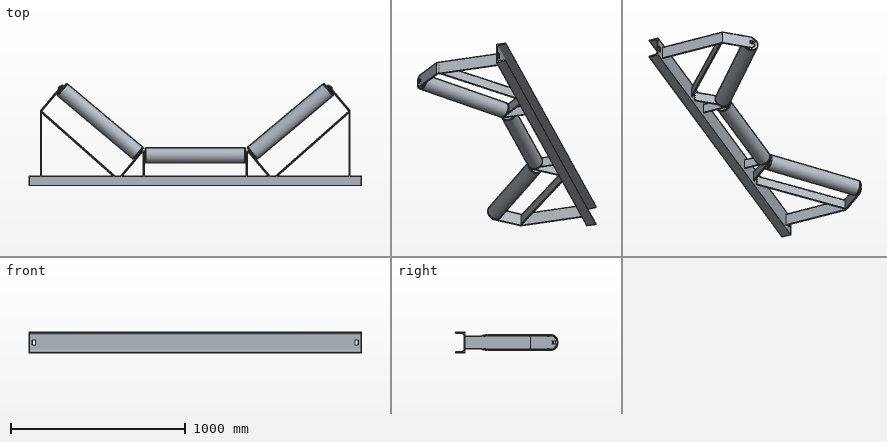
import cadquery as cq
import math


beam_length = 1900.0
beam_height = 120.0
flange_depth = 55.0
web_thickness = 7.0
flange_slope = 0.08
flange_mid_thickness = 9.0
root_radius = 9.0
toe_radius = 4.5

slot_width = 17.0
slot_height = 28.0
slot_end_distance = 27.0

roller_length = 575.0
roller_diameter = 90.0
cap_length = 8.0
cap_diameter = 85.0
trough_angle = 40.0
center_axis_y = 118.0
wing_inner_x = 323.0
wing_inner_y = 127.0

shaft_size = 15.0
shaft_overhang = 5.0
inner_gap = 2.0
outer_gap = 5.0

plate_thickness = 8.0

outer_post_x = 885.0
outer_bracket_width = 75.0
outer_bracket_tip = 20.0
corner_chamfer = 17.0

inner_bracket_top_y = 145.0
inner_bracket_width = 57.0

brace_width = 57.0
brace_angle = 41.5

wing_cos = math.cos(math.radians(trough_angle))
wing_sin = math.sin(math.radians(trough_angle))

inner_shaft_end = inner_gap + plate_thickness
outer_shaft_end = outer_gap + plate_thickness + shaft_overhang


def wing_point(along, across):
    """Point at a distance along the wing axis from the roller's inner end, and across it (up is +)."""
    x = wing_inner_x + along * wing_cos - across * wing_sin
    y = wing_inner_y + along * wing_sin + across * wing_cos
    return (x, y)


def wing_point_at_x(along, x):
    """Point at a given X on the line square to the wing axis."""
    return wing_point(along, (wing_inner_x + along * wing_cos - x) / wing_sin)


def wing_point_at_y(along, y):
    """Point at a given Y on the line square to the wing axis."""
    return wing_point(along, (y - wing_inner_y - along * wing_sin) / wing_cos)


def plate(outline, width):
    """Sheet with the given XY outline, centred on Z = 0."""
    return cq.Workplane("XY").polyline(outline).close().extrude(width / 2, both=True)


def place_on_wing(body):
    """Move a body from the X axis to the wing axis on the +X side."""
    turned = body.rotate((0, 0, 0), (0, 0, 1), trough_angle)
    return turned.translate((wing_inner_x, wing_inner_y, 0))


def make_beam():
    """Channel with sloping inner flange faces, rounded roots and toes, and a slot at each end."""
    flange_mid = flange_depth / 2
    root_thickness = flange_mid_thickness + flange_slope * (flange_mid - web_thickness)
    toe_thickness = flange_mid_thickness - flange_slope * flange_mid
    half = beam_height / 2
    profile = [
        (0, -half),
        (0, half),
        (-flange_depth, half),
        (-flange_depth, half - toe_thickness),
        (-web_thickness, half - root_thickness),
        (-web_thickness, -half + root_thickness),
        (-flange_depth, -half + toe_thickness),
        (-flange_depth, -half),
    ]
    beam = cq.Workplane("YZ").polyline(profile).close().extrude(beam_length / 2, both=True)

    inner_half = half - toe_thickness / 2
    inner_box = cq.selectors.BoxSelector(
        (-beam_length, -2 * flange_depth, -inner_half),
        (beam_length, -web_thickness / 2, inner_half),
    )
    beam = beam.edges("|X").edges(inner_box).edges(">Y").fillet(root_radius)
    beam = beam.edges("|X").edges(inner_box).edges("<Y").fillet(toe_radius)

    slot_x = beam_length / 2 - slot_end_distance
    slots = (
        cq.Workplane("XZ")
        .pushPoints([(-slot_x, 0), (slot_x, 0)])
        .rect(slot_width, slot_height)
        .extrude(web_thickness * 2, both=True)
    )
    return beam.cut(slots)


def make_roller(start_shaft, end_shaft):
    """Roller along +X with its inner end at X = 0 and shaft ends of the given lengths."""
    caps = cq.Workplane("YZ").circle(cap_diameter / 2).extrude(roller_length)
    shell = (
        cq.Workplane("YZ", origin=(cap_length, 0, 0))
        .circle(roller_diameter / 2)
        .extrude(roller_length - 2 * cap_length)
    )
    shaft = (
        cq.Workplane("YZ", origin=(-start_shaft, 0, 0))
        .rect(shaft_size, shaft_size)
        .extrude(start_shaft + roller_length + end_shaft)
    )
    return shell.union(caps).union(shaft)


def make_shaft_hole(start, length):
    """Cutter for a square shaft hole on the X axis."""
    return cq.Workplane("YZ", origin=(start, 0, 0)).rect(shaft_size, shaft_size).extrude(length)


def make_outer_bracket():
    """Post with a leg bent square to the wing axis, open at its end to take the shaft."""
    inner_face = roller_length + outer_gap
    outer_face = inner_face + plate_thickness
    post_inner_x = outer_post_x - plate_thickness
    outline = [
        (outer_post_x, 0),
        wing_point_at_x(outer_face, outer_post_x),
        wing_point(outer_face, outer_bracket_tip),
        wing_point(inner_face, outer_bracket_tip),
        wing_point_at_x(inner_face, post_inner_x),
        (post_inner_x, 0),
    ]
    bracket = plate(outline, outer_bracket_width)
    tip_edges = cq.selectors.ParallelDirSelector(cq.Vector(wing_cos, wing_sin, 0))
    bracket = bracket.faces(">Y").edges(tip_edges).chamfer(corner_chamfer)

    slot_depth = outer_bracket_tip + shaft_size / 2
    slot = cq.Workplane("XY").box(plate_thickness, slot_depth, shaft_size)
    slot = slot.translate((inner_face + plate_thickness / 2, outer_bracket_tip - slot_depth / 2, 0))
    return bracket.cut(place_on_wing(slot))


def make_inner_bracket():
    """Post for the center roller, joined by a short bridge to a leg square to the wing axis."""
    post_inner_x = roller_length / 2 + inner_gap
    post_outer_x = post_inner_x + plate_thickness
    under_bridge_y = inner_bracket_top_y - plate_thickness
    outline = [
        (post_inner_x, 0),
        (post_inner_x, inner_bracket_top_y),
        wing_point_at_y(-inner_gap, inner_bracket_top_y),
        wing_point_at_y(-inner_gap, 0),
        wing_point_at_y(-inner_shaft_end, 0),
        wing_point_at_y(-inner_shaft_end, under_bridge_y),
        (post_outer_x, under_bridge_y),
        (post_outer_x, 0),
    ]
    bracket = plate(outline, inner_bracket_width)

    center_hole = make_shaft_hole(post_inner_x, plate_thickness).translate((0, center_axis_y, 0))
    wing_hole = place_on_wing(make_shaft_hole(-inner_shaft_end, plate_thickness))
    return bracket.cut(center_hole).cut(wing_hole)


def make_brace():
    """Sloping brace from the bend of the outer bracket down to the web."""
    slope = math.tan(math.radians(brace_angle))
    upper_x = outer_post_x - plate_thickness
    upper_y = wing_point_at_x(roller_length + outer_gap, upper_x)[1]
    lower_y = upper_y - plate_thickness / math.cos(math.radians(brace_angle))
    outline = [
        (upper_x, upper_y),
        (upper_x, lower_y),
        (upper_x - lower_y / slope, 0),
        (upper_x - upper_y / slope, 0),
    ]
    return plate(outline, brace_width)


def both_sides(body):
    """The body and its mirror image on the -X side, as two solids."""
    return [body.val(), body.mirror("YZ").val()]


beam = make_beam()
center_roller = make_roller(inner_shaft_end, inner_shaft_end)
center_roller = center_roller.translate((-roller_length / 2, center_axis_y, 0))
wing_rollers = both_sides(place_on_wing(make_roller(inner_shaft_end, outer_shaft_end)))
outer_brackets = both_sides(make_outer_bracket())
inner_brackets = both_sides(make_inner_bracket())
braces = both_sides(make_brace())

result = cq.Compound.makeCompound(
    [beam.val(), center_roller.val(), *wing_rollers, *outer_brackets, *inner_brackets, *braces]
)